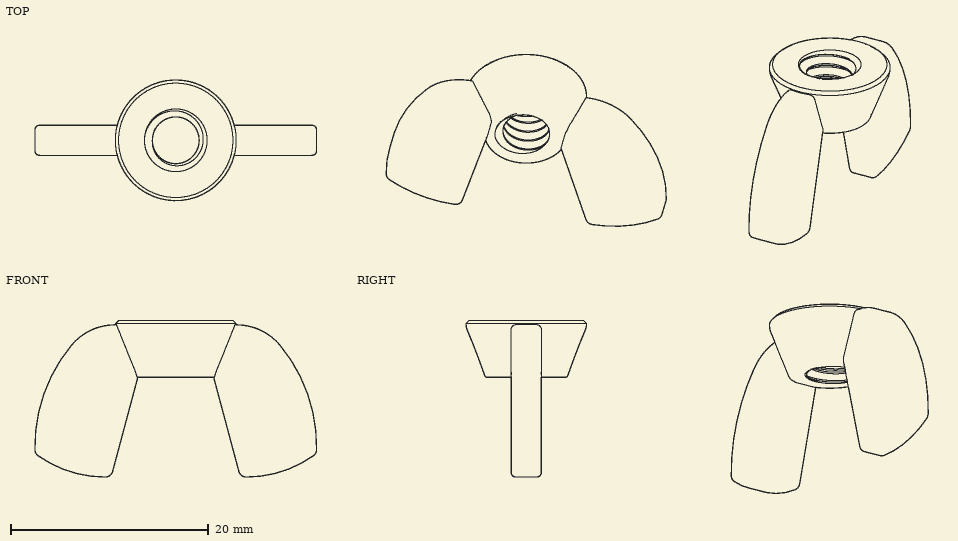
import cadquery as cq
import math

wing_span = 28.57
overall_height = 15.88

hub_height = 5.76
hub_radius = 6.13
rim_chamfer = 0.33
rim_round_height = 0.53
cone_angle = 21
hub_base_round = 0.25

thread_pitch = 25.4 / 20
thread_major_radius = 6.35 / 2
thread_minor_radius = 4.72 / 2
thread_root_flat = thread_pitch / 8
thread_flank_angle = 30
thread_overlap = 0.05
thread_start_angle = 180
thread_start_z = -0.066
countersink_radius = 3.18

wing_thickness = 3.08
wing_edge_round = 0.5
wing_corner_round = 0.8
wing_top_z = -0.43
wing_root_x = 3.5
shoulder_start_x = 6.15
shoulder_radius = 5.75
flank_radius = 16.1
tip_radius = 11.7
tip_low_x = 7.17
inner_edge_angle = 15
inner_edge_x_at_hub_base = 3.83


def make_hub():
    """Revolve the hub profile about Z."""
    slope = math.tan(math.radians(cone_angle))
    round_top_z = -rim_chamfer
    round_bottom_z = round_top_z - rim_round_height
    round_radius = rim_round_height / math.sin(math.radians(cone_angle))
    half_angle = math.radians(cone_angle / 2)
    round_mid = (
        hub_radius - round_radius * (1 - math.cos(half_angle)),
        round_top_z - round_radius * math.sin(half_angle),
    )
    cone_top_radius = hub_radius - round_radius * (1 - math.cos(2 * half_angle))
    base_radius = cone_top_radius - slope * (hub_height + round_bottom_z)
    hub = (
        cq.Workplane("XZ")
        .moveTo(0, 0)
        .lineTo(hub_radius - rim_chamfer, 0)
        .lineTo(hub_radius, round_top_z)
        .threePointArc(round_mid, (cone_top_radius, round_bottom_z))
        .lineTo(base_radius, -hub_height)
        .lineTo(0, -hub_height)
        .close()
        .revolve(360, (0, 0), (0, 1))
    )
    return hub.faces("<Z").edges().fillet(hub_base_round)


def point_on_circle(center, radius, angle):
    """Point at an angle in radians, counted from +X towards +Z."""
    return (center[0] + radius * math.cos(angle), center[1] + radius * math.sin(angle))


def angle_from(center, point):
    return math.atan2(point[1] - center[1], point[0] - center[0])


def arc_middle(center, radius, start, end):
    """Point halfway along the short arc between two points of a circle."""
    middle_angle = (angle_from(center, start) + angle_from(center, end)) / 2
    return point_on_circle(center, radius, middle_angle)


def make_wing():
    """Wing on the +X side: shoulder arc, outer flank, tip arc and straight inner edge."""
    shoulder_center = (shoulder_start_x, wing_top_z - shoulder_radius)
    flank_center_x = wing_span / 2 - flank_radius
    center_distance = flank_radius - shoulder_radius
    center_drop = math.sqrt(center_distance**2 - (shoulder_start_x - flank_center_x) ** 2)
    flank_center = (flank_center_x, shoulder_center[1] - center_drop)
    shoulder_start = (shoulder_start_x, wing_top_z)
    shoulder_end = point_on_circle(
        flank_center, flank_radius, angle_from(flank_center, shoulder_center)
    )

    tip_center = (tip_low_x, tip_radius - overall_height)
    tip_distance = math.dist(flank_center, tip_center)
    opening = math.acos(
        (flank_radius**2 + tip_distance**2 - tip_radius**2) / (2 * flank_radius * tip_distance)
    )
    outer_corner = point_on_circle(
        flank_center, flank_radius, angle_from(flank_center, tip_center) - opening
    )

    slant = math.radians(inner_edge_angle)
    edge_to_center = (tip_center[0] - inner_edge_x_at_hub_base, tip_center[1] + hub_height)
    side_offset = edge_to_center[0] * math.cos(slant) + edge_to_center[1] * math.sin(slant)
    inner_corner = point_on_circle(
        tip_center, tip_radius, -math.pi + slant + math.acos(side_offset / tip_radius)
    )
    root_z = (inner_edge_x_at_hub_base - wing_root_x) / math.tan(slant) - hub_height

    wing = (
        cq.Workplane("XZ")
        .moveTo(wing_root_x, wing_top_z)
        .lineTo(*shoulder_start)
        .threePointArc(
            arc_middle(shoulder_center, shoulder_radius, shoulder_start, shoulder_end),
            shoulder_end,
        )
        .threePointArc(
            arc_middle(flank_center, flank_radius, shoulder_end, outer_corner), outer_corner
        )
        .threePointArc(
            arc_middle(tip_center, tip_radius, outer_corner, inner_corner), inner_corner
        )
        .lineTo(wing_root_x, root_z)
        .close()
        .extrude(wing_thickness / 2, both=True)
    )
    for corner_x, corner_z in (outer_corner, inner_corner):
        corner_edge = cq.selectors.NearestToPointSelector((corner_x, 0, corner_z))
        wing = wing.edges(corner_edge).fillet(wing_corner_round)
    return wing.faces("<Y or >Y").edges().fillet(wing_edge_round)


def make_bore():
    """Through bore at the minor diameter of the thread."""
    return cq.Workplane("XY").circle(thread_minor_radius).extrude(-hub_height)


def make_countersink():
    """90 degree cone at the top of the bore, pointing down."""
    cone = cq.Solid.makeCone(
        0, countersink_radius, countersink_radius, cq.Vector(0, 0, -countersink_radius)
    )
    return cq.Workplane("XY").add(cone)


def make_groove_turn():
    """One turn of the thread groove, starting and ending at the thread start angle."""
    inner_radius = thread_minor_radius - thread_overlap
    flank_rise = (thread_major_radius - inner_radius) * math.tan(math.radians(thread_flank_angle))
    root_half = thread_root_flat / 2
    mouth_half = root_half + flank_rise
    helix = cq.Wire.makeHelix(thread_pitch, thread_pitch, thread_major_radius)
    groove = (
        cq.Workplane("XZ")
        .moveTo(inner_radius, -mouth_half)
        .lineTo(thread_major_radius, -root_half)
        .lineTo(thread_major_radius, root_half)
        .lineTo(inner_radius, mouth_half)
        .close()
        .sweep(cq.Workplane("XY").add(helix), isFrenet=True)
    )
    return groove.rotate((0, 0, 0), (0, 0, 1), thread_start_angle)


def cut_thread(body):
    """Cut the groove turn by turn, from above the top of the bore to below its bottom."""
    groove_turn = make_groove_turn()
    turns = math.ceil(hub_height / thread_pitch) + 2
    for turn in range(turns):
        turn_z = thread_start_z + (1 - turn) * thread_pitch
        body = body.cut(groove_turn.translate((0, 0, turn_z)))
    return body


wing = make_wing()
body = make_hub().union(wing).union(wing.mirror("YZ"))
result = cut_thread(body.cut(make_bore())).cut(make_countersink())